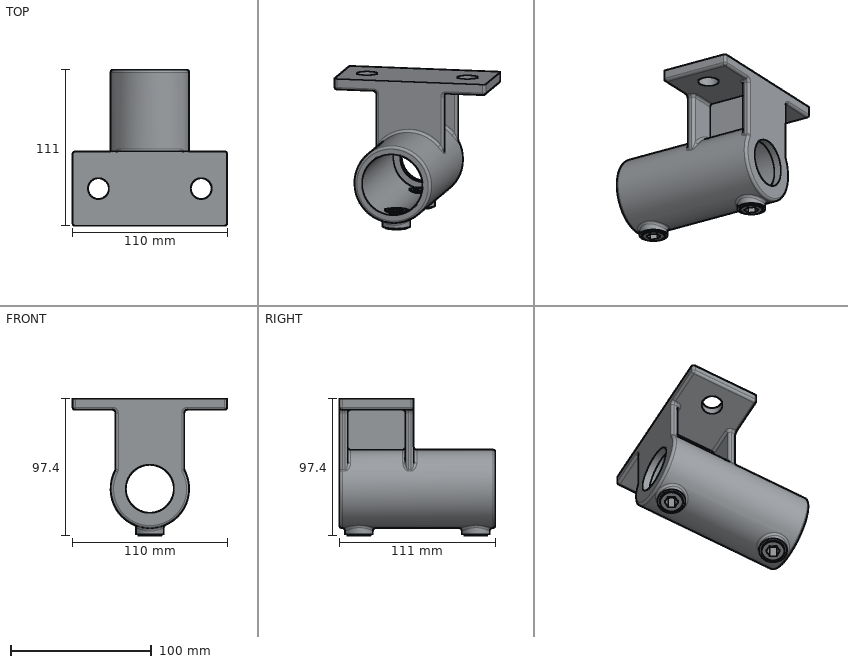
import cadquery as cq
import math


tube_length = 111.0
tube_radius = 28.0
lip_radius = 17.0
lip_depth = 5.5
bore_radius = 22.0

plate_length = 110.0
plate_depth = 53.0
plate_thickness = 8.0
plate_top = 64.0
plate_bottom = plate_top - plate_thickness
plate_hole_radius = 7.3
plate_hole_spacing = 73.0

leg_width = 49.2
leg_thickness = 6.0
leg_fronts = [0, plate_depth - leg_thickness]
web_thickness = 6.0

screw_end_distance = 14.0
screw_positions = [screw_end_distance, tube_length - screw_end_distance]
boss_radius = 10.0
boss_bottom = -32.4
screw_radius = 8.3
screw_bottom = -33.4
screw_top = -20.5
socket_across_corners = 9.8
socket_mouth_radius = 5.3
socket_mouth_angle = 120
screw_chamfer = 0.3

edge_radius = 2.0
boss_fillet = 1.9

tolerance = 0.01

half_plate = plate_length / 2
half_leg = leg_width / 2


def box_between(x_range, y_range, z_range):
    """Box filling the given ranges."""
    size = [high - low for low, high in (x_range, y_range, z_range)]
    corner = cq.Vector(x_range[0], y_range[0], z_range[0])
    return cq.Workplane(cq.Solid.makeBox(*size, corner))


def cylinder_along_y(radius, start, end):
    """Cylinder on the tube axis."""
    return cq.Workplane(
        cq.Solid.makeCylinder(radius, end - start, cq.Vector(0, start, 0), cq.Vector(0, 1, 0))
    )


def cylinder_along_z(radius, x, y, bottom, top):
    """Upright cylinder."""
    return cq.Workplane(cq.Solid.makeCylinder(radius, top - bottom, cq.Vector(x, y, bottom)))


def same(a, b):
    """True for two coordinates that agree within the tolerance."""
    return abs(a - b) < tolerance


def lies_at_y(box, y):
    """True for an edge that lies wholly in the plane at this Y."""
    return same(box.ymin, y) and same(box.ymax, y)


def round_edges(body, radius, is_chosen):
    """Fillet the edges whose bounding box passes the test."""
    chosen = [edge for edge in body.edges().vals() if is_chosen(edge.BoundingBox())]
    return body.newObject(chosen).fillet(radius)


def make_bracket():
    """Plate with its two legs, all rounded except along the front face."""

    def is_rear_corner(box):
        at_plate_end = same(abs(box.xmin), half_plate) and same(box.xmin, box.xmax)
        return lies_at_y(box, plate_depth) and at_plate_end

    def is_inner_leg_edge(box):
        upright = same(box.xmin, box.xmax) and same(box.ymin, box.ymax)
        between_ends = tolerance < box.ymin < plate_depth - tolerance
        return upright and between_ends and same(abs(box.xmin), half_leg)

    def is_leg_root(box):
        at_plate = same(box.zmin, plate_bottom) and same(box.zmax, plate_bottom)
        at_leg = max(abs(box.xmin), abs(box.xmax)) < half_leg + tolerance
        on_end_face = lies_at_y(box, 0) or lies_at_y(box, plate_depth)
        return at_plate and at_leg and not on_end_face

    def is_rear_outline(box):
        above_leg_ends = box.zmin > tolerance
        below_plate_top = box.zmax < plate_top - tolerance
        return lies_at_y(box, plate_depth) and above_leg_ends and below_plate_top

    bracket = box_between((-half_plate, half_plate), (0, plate_depth), (plate_bottom, plate_top))
    bracket = round_edges(bracket, edge_radius, is_rear_corner)
    for front in leg_fronts:
        leg = box_between((-half_leg, half_leg), (front, front + leg_thickness), (0, plate_bottom))
        bracket = bracket.union(leg)
    bracket = round_edges(bracket, edge_radius, is_inner_leg_edge)
    bracket = round_edges(bracket, edge_radius, is_leg_root)
    return round_edges(bracket, edge_radius, is_rear_outline)


def join_tube(bracket):
    """Add the tube and fillet the legs into it."""

    def is_leg_foot(box):
        at_leg = max(abs(box.xmin), abs(box.xmax)) < half_leg + tolerance
        above_axis = box.zmin > 0 and box.zmax < tube_radius + tolerance
        return at_leg and above_axis and tolerance < box.ymax < plate_depth + tolerance

    body = bracket.union(cylinder_along_y(tube_radius, 0, tube_length))
    return round_edges(body, edge_radius, is_leg_foot)


def add_bosses(body):
    """Add the round bosses under the tube and fillet them into it."""

    def is_boss_root(box):
        width = box.xmax - box.xmin
        as_wide_as_boss = same(width, 2 * boss_radius) or same(width, boss_radius)
        return as_wide_as_boss and box.zmin > -tube_radius - tolerance and box.zmax < 0

    for y in screw_positions:
        body = body.union(cylinder_along_z(boss_radius, 0, y, boss_bottom, -bore_radius))
    return round_edges(body, boss_fillet, is_boss_root)


def round_end_faces(body):
    """Round the outline of the front face below the plate top, and the rear tube rim."""

    def is_front_outline(box):
        is_plate_top_edge = same(box.zmin, plate_top)
        return lies_at_y(box, 0) and not is_plate_top_edge

    def is_rear_rim(box):
        return lies_at_y(box, tube_length)

    body = round_edges(body, edge_radius, is_front_outline)
    return round_edges(body, edge_radius, is_rear_rim)


def make_housing():
    """Bracket, tube and bosses in one body, with its bore and holes."""
    body = round_end_faces(add_bosses(join_tube(make_bracket())))

    half_web = web_thickness / 2
    web_ends = (leg_thickness / 2, plate_depth - leg_thickness / 2)
    web_heights = (tube_radius - edge_radius, plate_top - edge_radius)
    body = body.union(box_between((-half_web, half_web), web_ends, web_heights))

    body = body.cut(cylinder_along_y(lip_radius, 0, tube_length))
    body = body.cut(cylinder_along_y(bore_radius, lip_depth, tube_length))

    for x in (-plate_hole_spacing / 2, plate_hole_spacing / 2):
        body = body.cut(cylinder_along_z(plate_hole_radius, x, plate_depth / 2, plate_bottom, plate_top))

    for y in screw_positions:
        body = body.cut(cylinder_along_z(screw_radius, 0, y, boss_bottom, 0))
    return body


def make_set_screw(y):
    """Set screw with a through hexagon socket that is countersunk at its inner end."""
    screw = cylinder_along_z(screw_radius, 0, y, screw_bottom, screw_top)
    screw = screw.edges("%CIRCLE").chamfer(screw_chamfer)
    socket = (
        cq.Workplane("XY", origin=(0, y, screw_bottom))
        .polygon(6, socket_across_corners)
        .extrude(screw_top - screw_bottom)
    )
    mouth_depth = socket_mouth_radius / math.tan(math.radians(socket_mouth_angle / 2))
    mouth_tip = cq.Vector(0, y, screw_top - mouth_depth)
    mouth = cq.Workplane(cq.Solid.makeCone(0, socket_mouth_radius, mouth_depth, mouth_tip))
    return screw.cut(socket).cut(mouth)


housing = make_housing()
set_screws = [make_set_screw(y) for y in screw_positions]
result = cq.Compound.makeCompound([housing.val(), *[screw.val() for screw in set_screws]])